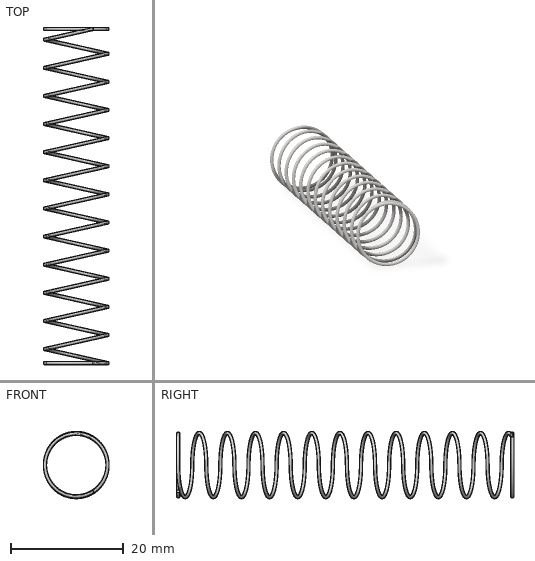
import cadquery as cq
import math

free_length = 60.0
coil_diameter = 12.0
wire_diameter = 0.6
turns_per_length = 12
full_half_turns = 23
cut_end_angle = 57.0

wire_radius = wire_diameter / 2
bend_radius = coil_diameter / 2 - wire_radius
half_rise = free_length / turns_per_length / 2
half_span = math.sqrt(bend_radius**2 - (half_rise / 2) ** 2)
front_y = -free_length / 2 + wire_radius
back_y = free_length / 2 - wire_radius
last_rise = back_y - front_y - full_half_turns * half_rise


def front_coil_point(angle):
    """Point on the wire centre line of the flat front coil, angle from +X towards +Z."""
    turn = math.radians(angle)
    return cq.Vector(half_span * math.cos(turn), front_y, half_span * math.sin(turn))


def half_turn_point(index, rise):
    """Point on a half turn, the given rise above its start.

    Each half turn is a flat half circle tilted along Y. Even ones run under the
    axis from +X to -X, odd ones run back over it.
    """
    side = 1 if index % 2 == 0 else -1
    reach = 1 - 2 * rise / half_rise
    x = side * half_span * reach
    z = -side * bend_radius * math.sqrt(1 - reach**2)
    return cq.Vector(x, front_y + index * half_rise + rise, z)


def front_coil():
    """Centre line of the flat front coil, from its cut end round to +X."""
    swept_angle = 360 - cut_end_angle
    angles = (swept_angle, swept_angle / 2, 0)
    return cq.Edge.makeThreePointArc(*[front_coil_point(angle) for angle in angles])


def half_turn(index, rise=half_rise):
    """Centre line of a half turn, cut short when the rise is less than a full one."""
    rises = (0, rise / 2, rise)
    return cq.Edge.makeThreePointArc(*[half_turn_point(index, step) for step in rises])


def wire_along(edges):
    """Round wire swept along a chain of centre line arcs."""
    path = cq.Wire.assembleEdges(edges)
    start_plane = cq.Plane(origin=edges[0].startPoint(), normal=edges[0].tangentAt(0))
    return cq.Workplane(start_plane).circle(wire_radius).sweep(cq.Workplane(path))


active_turns = [half_turn(index) for index in range(full_half_turns)]
last_turn = half_turn(full_half_turns, last_rise)
sprung_wire = wire_along([front_coil()] + active_turns + [last_turn])

back_centre = cq.Vector(0, back_y, 0)
back_ring = cq.Solid.makeTorus(half_span, wire_radius, back_centre, cq.Vector(0, 1, 0))

result = sprung_wire.union(cq.Workplane(back_ring))